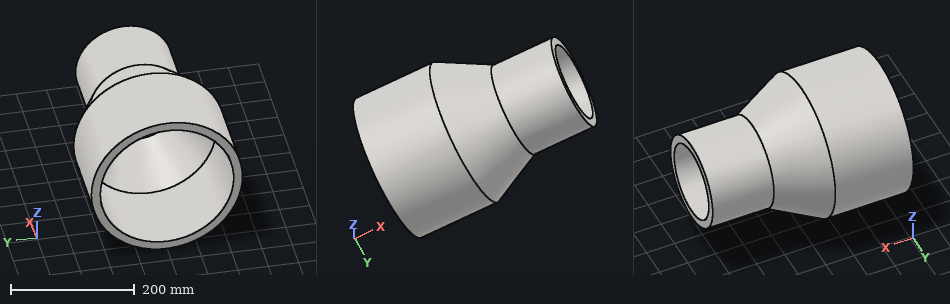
import cadquery as cq
import math

total_length = 338.0
wide_length = 140.0
narrow_length = 109.5
wide_outer_diameter = 250.0
wide_bore_diameter = 220.5
narrow_outer_diameter = 160.0
narrow_bore_diameter = 130.5

cone_end = total_length - narrow_length

wall = (wide_outer_diameter - wide_bore_diameter) / 2
cone_drop = (wide_outer_diameter - narrow_outer_diameter) / 2
cone_angle = math.atan2(cone_drop, cone_end - wide_length)
bore_setback = wall * math.tan(cone_angle / 2)


def reducer_body(wide_diameter, narrow_diameter, setback):
    """Wide cylinder, cone and narrow cylinder, with the cone moved towards the wide end by setback."""
    wide_radius = wide_diameter / 2
    narrow_radius = narrow_diameter / 2
    return (
        cq.Workplane("XY")
        .moveTo(0, 0)
        .lineTo(0, wide_radius)
        .lineTo(wide_length - setback, wide_radius)
        .lineTo(cone_end - setback, narrow_radius)
        .lineTo(total_length, narrow_radius)
        .lineTo(total_length, 0)
        .close()
        .revolve(360, (0, 0, 0), (1, 0, 0))
    )


outside = reducer_body(wide_outer_diameter, narrow_outer_diameter, 0)
bore = reducer_body(wide_bore_diameter, narrow_bore_diameter, bore_setback)

result = outside.cut(bore)